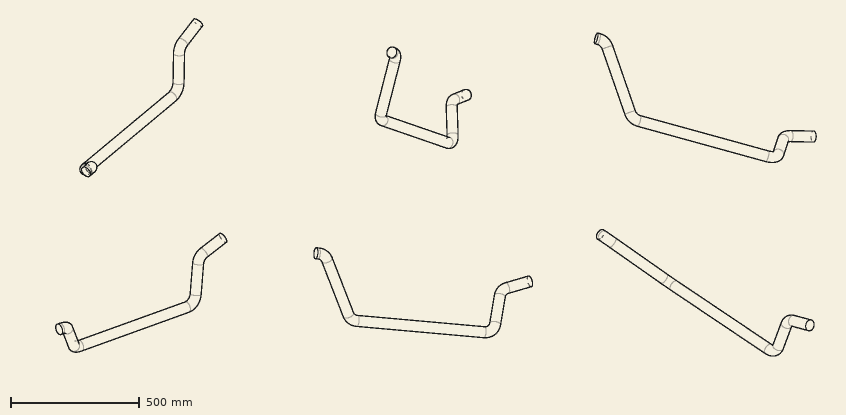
import cadquery as cq
import math

bar_diameter = 44.0
bend_radius = 50.0

front_stub = 37.5
slope_side = 169.0
slope_run = 175.0
slope_drop = 214.5
level_length = 600.5
riser_side = 29.0
riser_run = 42.0
riser_height = 183.2
end_leg_length = 130.0
end_leg_angle = math.radians(20)

legs = [
    cq.Vector(0, front_stub, 0),
    cq.Vector(-slope_side, slope_run, -slope_drop),
    cq.Vector(0, level_length, 0),
    cq.Vector(-riser_side, riser_run, riser_height),
    cq.Vector(0, end_leg_length * math.cos(end_leg_angle), end_leg_length * math.sin(end_leg_angle)),
]


def bend_points(corner, incoming, outgoing):
    """Start, middle and end of the arc that rounds one corner of the centreline."""
    arriving = incoming.normalized()
    leaving = outgoing.normalized()
    half_turn = arriving.getAngle(leaving) / 2
    setback = bend_radius * math.tan(half_turn)
    corner_to_arc = bend_radius / math.cos(half_turn) - bend_radius
    inward = (leaving - arriving).normalized()
    return corner - arriving * setback, corner + inward * corner_to_arc, corner + leaving * setback


def bent_centreline():
    """Straight runs joined by tangent arcs, from the front face to the rear face."""
    edges = []
    run_start = cq.Vector(0, 0, 0)
    corner = run_start
    for incoming, outgoing in zip(legs, legs[1:]):
        corner = corner + incoming
        arc_start, arc_middle, arc_end = bend_points(corner, incoming, outgoing)
        edges.append(cq.Edge.makeLine(run_start, arc_start))
        edges.append(cq.Edge.makeThreePointArc(arc_start, arc_middle, arc_end))
        run_start = arc_end
    edges.append(cq.Edge.makeLine(run_start, corner + legs[-1]))
    return cq.Wire.assembleEdges(edges)


front_face = cq.Workplane("XZ").circle(bar_diameter / 2)
result = front_face.sweep(cq.Workplane(obj=bent_centreline()))